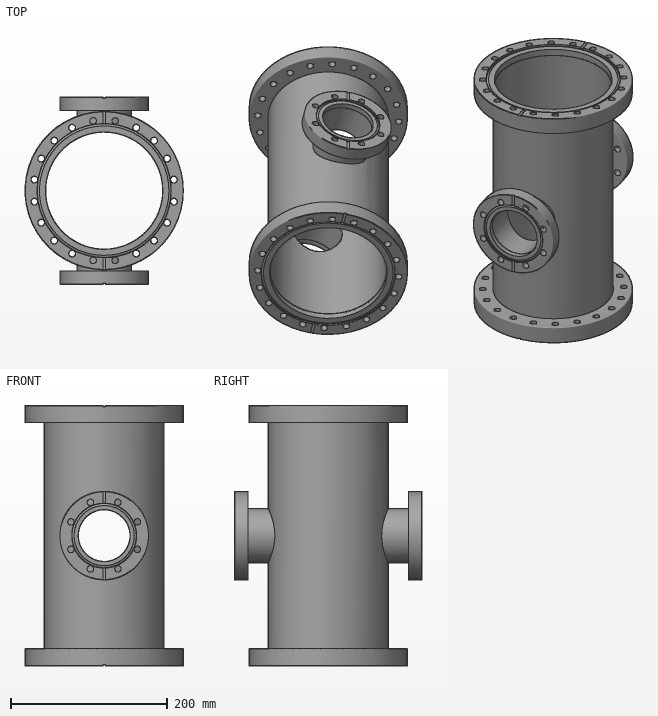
import cadquery as cq


MAIN_REACH = 167.0
SIDE_REACH = 240.0 / 2

MAIN_TUBE_OD = 154.0
MAIN_TUBE_ID = 150.0
MAIN_RING_OD = 203.0
MAIN_RING_THICKNESS = 22.0
MAIN_SEAT_DEPTH = 10.0
MAIN_INSERT_OD = 171.5
MAIN_INSERT_BORE = 150.5
MAIN_KNIFE_DIAMETER = 166.0
MAIN_BOLT_CIRCLE = 181.0
MAIN_BOLT_COUNT = 20

SIDE_TUBE_OD = 70.0
SIDE_TUBE_ID = 66.0
SIDE_RING_OD = 113.5
SIDE_RING_THICKNESS = 17.5
SIDE_SEAT_DEPTH = 8.0
SIDE_INSERT_OD = 82.5
SIDE_INSERT_BORE = 66.5
SIDE_KNIFE_DIAMETER = 77.0
SIDE_BOLT_CIRCLE = 92.2
SIDE_BOLT_COUNT = 8

BOLT_HOLE_DIAMETER = 8.5
LEAK_GROOVE_RADIUS = 1.7
KNIFE_RECESS = 1.17
KNIFE_HEIGHT = 1.0
RING_EDGE_RADIUS = 0.5
RING_CLEARANCE = 0.7


def cylinder_z(diameter, bottom, top):
    """Solid cylinder about Z between two heights."""
    return cq.Workplane("XY").workplane(offset=bottom).circle(diameter / 2).extrude(top - bottom)


def make_tube_body():
    """Main tube and both side tubes welded into one piece, ending at the insert seats."""
    main_half = MAIN_REACH - MAIN_SEAT_DEPTH
    side_half = SIDE_REACH - SIDE_SEAT_DEPTH
    main_outside = cylinder_z(MAIN_TUBE_OD, -main_half, main_half)
    main_bore = cylinder_z(MAIN_TUBE_ID, -main_half, main_half)
    side_outside = cq.Workplane("XZ").circle(SIDE_TUBE_OD / 2).extrude(side_half, both=True)
    side_bore = cq.Workplane("XZ").circle(SIDE_TUBE_ID / 2).extrude(side_half, both=True)
    return main_outside.union(side_outside).cut(main_bore).cut(side_bore)


def make_bolt_ring(ring_od, thickness, seat_diameter, seat_depth, back_bore, bolt_circle, bolt_count):
    """Outer bolt ring with its face on Z = 0 and its body below."""
    ring = cylinder_z(ring_od, -thickness, 0).edges().fillet(RING_EDGE_RADIUS)
    ring = ring.cut(cylinder_z(back_bore, -thickness, 0))
    ring = ring.faces("<Z").edges(cq.selectors.RadiusNthSelector(0)).fillet(RING_EDGE_RADIUS)
    ring = ring.cut(cylinder_z(seat_diameter, -seat_depth, 0))

    step = 360 / bolt_count
    holes = (
        cq.Workplane("XY")
        .polarArray(bolt_circle / 2, step / 2, 360, bolt_count)
        .circle(BOLT_HOLE_DIAMETER / 2)
        .extrude(-thickness)
    )

    groove = cq.Workplane("XZ").circle(LEAK_GROOVE_RADIUS).extrude(ring_od, both=True)
    return ring.cut(holes).cut(groove)


def make_insert(outer_diameter, knife_diameter, bore, seat_depth):
    """Knife-edge insert in the seat of a bolt ring whose face is on Z = 0."""
    profile = [
        (bore / 2, -seat_depth),
        (outer_diameter / 2, -seat_depth),
        (outer_diameter / 2, -KNIFE_RECESS - KNIFE_HEIGHT),
        (knife_diameter / 2, -KNIFE_RECESS),
        (bore / 2, -KNIFE_RECESS),
    ]
    return cq.Workplane("XZ").polyline(profile).close().revolve(360, (0, 0, 0), (0, 1, 0))


def place_on_port(part, reach, tilt):
    """Move a flange part out to a port face, then tilt it about X from +Z to the port direction."""
    return part.translate((0, 0, reach)).rotate((0, 0, 0), (1, 0, 0), tilt).val()


tube_body = make_tube_body()

main_ring = make_bolt_ring(
    MAIN_RING_OD,
    MAIN_RING_THICKNESS,
    MAIN_INSERT_OD + RING_CLEARANCE,
    MAIN_SEAT_DEPTH,
    MAIN_TUBE_OD + RING_CLEARANCE,
    MAIN_BOLT_CIRCLE,
    MAIN_BOLT_COUNT,
)
main_insert = make_insert(MAIN_INSERT_OD, MAIN_KNIFE_DIAMETER, MAIN_INSERT_BORE, MAIN_SEAT_DEPTH)
side_ring = make_bolt_ring(
    SIDE_RING_OD,
    SIDE_RING_THICKNESS,
    SIDE_INSERT_OD + RING_CLEARANCE,
    SIDE_SEAT_DEPTH,
    SIDE_TUBE_OD + RING_CLEARANCE,
    SIDE_BOLT_CIRCLE,
    SIDE_BOLT_COUNT,
)
side_insert = make_insert(SIDE_INSERT_OD, SIDE_KNIFE_DIAMETER, SIDE_INSERT_BORE, SIDE_SEAT_DEPTH)

main_rings = []
main_inserts = []
for tilt in (0, 180):
    main_rings.append(place_on_port(main_ring, MAIN_REACH, tilt))
    main_inserts.append(place_on_port(main_insert, MAIN_REACH, tilt))

side_rings = []
side_inserts = []
for tilt in (90, -90):
    side_rings.append(place_on_port(side_ring, SIDE_REACH, tilt))
    side_inserts.append(place_on_port(side_insert, SIDE_REACH, tilt))

result = cq.Compound.makeCompound(
    [tube_body.val(), *main_rings, *main_inserts, *side_rings, *side_inserts]
)